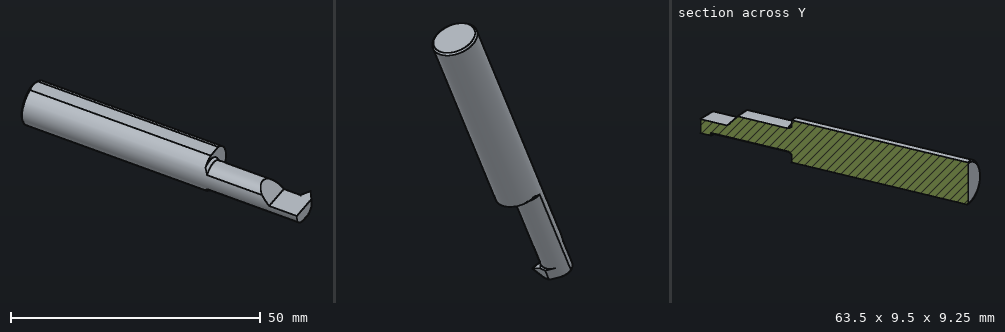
import cadquery as cq

total_length = 63.5
shank_length = 41.9
shank_radius = 4.75
shank_chamfer = 0.4
flat_height = 4.5

neck_radius = 3.145
neck_axis_y = -1.85
neck_side_y = neck_axis_y + neck_radius
flare_length = 0.75
flare_height = 0.4

head_length = 6.35
ramp_start_x = total_length - head_length

tooth_base_x = 60.95
tooth_tip_x = 62.1
tooth_tip_y = 3.35


def x_cylinder(radius, start_x, length, axis_y=0):
    return cq.Workplane("YZ", origin=(start_x, axis_y, 0)).circle(radius).extrude(length)


def make_shank():
    shank = x_cylinder(shank_radius, 0, shank_length).faces("<X").chamfer(shank_chamfer)
    above_flat = cq.Workplane("XY").box(
        shank_length, 2 * shank_radius, shank_radius, centered=(False, True, False)
    ).translate((0, 0, flat_height))
    return shank.cut(above_flat)


def make_neck():
    flare_radius = neck_radius + flare_height
    neck = (
        cq.Workplane("XY", origin=(0, neck_axis_y, 0))
        .moveTo(shank_length, 0)
        .lineTo(shank_length, flare_radius)
        .lineTo(shank_length + flare_length, neck_radius)
        .lineTo(total_length, neck_radius)
        .lineTo(total_length, 0)
        .close()
        .revolve(360, (0, 0, 0), (1, 0, 0))
    )
    neck = neck.intersect(x_cylinder(shank_radius, 0, total_length))
    ramp_top_x = ramp_start_x - shank_radius
    head_opening = (
        cq.Workplane("XZ")
        .polyline([
            (ramp_start_x, 0),
            (total_length, 0),
            (total_length, shank_radius),
            (ramp_top_x, shank_radius),
        ])
        .close()
        .extrude(shank_radius, both=True)
    )
    return neck.cut(head_opening)


def make_tooth():
    outline = (
        cq.Workplane("XY")
        .polyline([
            (tooth_base_x, neck_axis_y),
            (tooth_base_x, neck_side_y),
            (tooth_tip_x, tooth_tip_y),
            (total_length, neck_side_y),
            (total_length, neck_axis_y),
        ])
        .close()
        .extrude(-neck_radius)
    )
    clearance_section = (
        cq.Workplane("YZ", origin=(tooth_base_x, 0, 0))
        .polyline([
            (neck_axis_y, 0),
            (tooth_tip_y, 0),
            (tooth_tip_y - neck_radius, -neck_radius),
            (neck_axis_y, -neck_radius),
        ])
        .close()
        .extrude(total_length - tooth_base_x)
    )
    return outline.intersect(clearance_section)


result = make_shank().union(make_neck()).union(make_tooth())